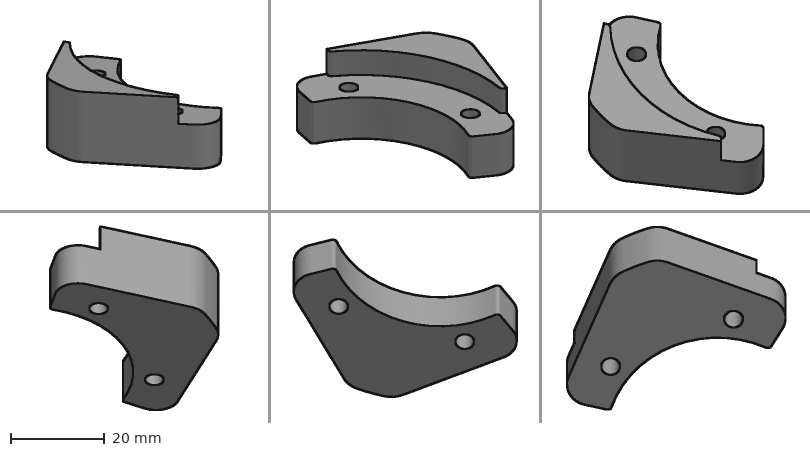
import cadquery as cq
import math

ledge_height = 10.0
total_height = 16.0

nose_radius = 44.25
wall_radius = 33.75
bore_radius = 23.65
arc_center = (0, nose_radius)

half_width = 24.9
arm_round = 5
arm_round_center = (half_width - arm_round, 22.05)

side_normal = -45
arm_end_normal = 53

nose_round = 5.95
tip_round = 0.85

wall_tip_x = 20.0

hole_diameter = 4
hole_x = 14.25
hole_y = 19.8


def polar(center, radius, degrees):
    angle = math.radians(degrees)
    return (center[0] + radius * math.cos(angle), center[1] + radius * math.sin(angle))


def mirrored(point):
    return (-point[0], point[1])


def face_meets_arc(normal, radius, turn):
    """Point where a face tangent to the arm rounding meets a concentric arc."""
    angle = math.radians(normal)
    offset_x = arm_round_center[0] - arc_center[0]
    offset_y = arm_round_center[1] - arc_center[1]
    distance = offset_x * math.cos(angle) + offset_y * math.sin(angle) + arm_round
    return polar(arc_center, radius, normal + turn * math.degrees(math.acos(distance / radius)))


def round_corners(body, points, radius):
    """Round the vertical edges through the given points and their mirror images."""
    for point in points + [mirrored(p) for p in points]:
        edge = cq.selectors.NearestToPointSelector((point[0], point[1], total_height / 2))
        body = body.edges("|Z").edges(edge).fillet(radius)
    return body


def make_body():
    half_turn = (arm_end_normal - side_normal) / 2
    middle_direction = (arm_end_normal + side_normal) / 2
    corner_distance = arm_round / math.cos(math.radians(half_turn))
    arm_corner = polar(arm_round_center, corner_distance, middle_direction)
    nose_corner = face_meets_arc(side_normal, nose_radius, -1)
    arm_tip = face_meets_arc(arm_end_normal, bore_radius, -1)
    body = (
        cq.Workplane("XY")
        .moveTo(*mirrored(nose_corner))
        .threePointArc((0, 0), nose_corner)
        .lineTo(*arm_corner)
        .lineTo(*arm_tip)
        .threePointArc((0, nose_radius - bore_radius), mirrored(arm_tip))
        .lineTo(*mirrored(arm_corner))
        .close()
        .extrude(total_height)
    )
    body = round_corners(body, [arm_corner], arm_round)
    body = round_corners(body, [nose_corner], nose_round)
    return round_corners(body, [arm_tip], tip_round)


def make_wall_envelope():
    """Base slab joined with a block behind the curved wall face."""
    slab = cq.Workplane("XY").rect(4 * half_width, 4 * half_width).extrude(ledge_height)
    wall_tip = (wall_tip_x, nose_radius - math.sqrt(wall_radius**2 - wall_tip_x**2))
    end_drop = (half_width - wall_tip_x) / math.tan(math.radians(arm_end_normal))
    wall_end = (half_width, wall_tip[1] - end_drop)
    block = (
        cq.Workplane("XY")
        .moveTo(-half_width, 0)
        .lineTo(half_width, 0)
        .lineTo(*wall_end)
        .lineTo(*wall_tip)
        .threePointArc((0, nose_radius - wall_radius), mirrored(wall_tip))
        .lineTo(*mirrored(wall_end))
        .close()
        .extrude(total_height)
    )
    return slab.union(round_corners(block, [wall_tip], tip_round))


holes = (
    cq.Workplane("XY")
    .pushPoints([(-hole_x, hole_y), (hole_x, hole_y)])
    .circle(hole_diameter / 2)
    .extrude(total_height)
)

result = make_body().intersect(make_wall_envelope()).cut(holes)